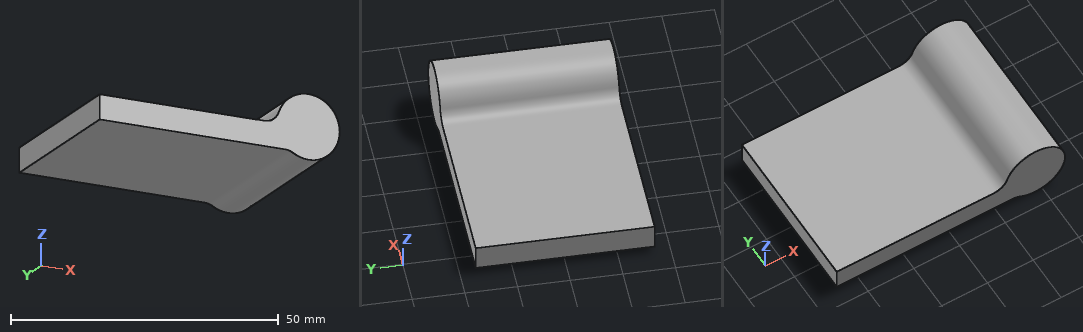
import cadquery as cq
import math

length = 50.0
width = 34.0
barrel_radius = 6.5
plate_thickness = 5.0
plate_top = -0.2
blend_radius = 3.25

plate_end = barrel_radius - length
plate_bottom = plate_top - plate_thickness


def blend_points(face_height, side):
    """Start, middle and end of the blend from a plate face (side +1 upper, -1 lower) to the barrel."""
    center_z = face_height + side * blend_radius
    center_x = -math.sqrt((barrel_radius + blend_radius) ** 2 - center_z**2)
    start_angle = -side * math.pi / 2
    end_angle = math.atan2(-center_z, -center_x)
    angles = (start_angle, (start_angle + end_angle) / 2, end_angle)
    return [
        (center_x + blend_radius * math.cos(angle), center_z + blend_radius * math.sin(angle))
        for angle in angles
    ]


upper_start, upper_middle, upper_end = blend_points(plate_top, 1)
lower_start, lower_middle, lower_end = blend_points(plate_bottom, -1)

result = (
    cq.Workplane("XZ")
    .moveTo(plate_end, plate_bottom)
    .lineTo(plate_end, plate_top)
    .lineTo(*upper_start)
    .threePointArc(upper_middle, upper_end)
    .threePointArc((barrel_radius, 0), lower_end)
    .threePointArc(lower_middle, lower_start)
    .close()
    .extrude(width / 2, both=True)
)